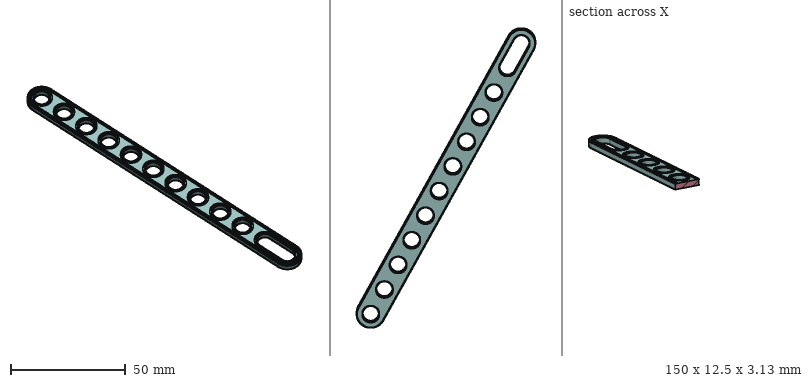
import cadquery as cq

pitch = 12.5
stations = 12
round_holes = 10
hole_diameter = 7.0
collar_diameter = 9.2
edge_chamfer = 0.3
recess_depth = 0.2

width = pitch
length = stations * pitch
thickness = pitch / 4
wall = (collar_diameter - hole_diameter) / 2
first_hole_x = (pitch - length) / 2
slot_x = -first_hole_x - pitch / 2
recess_floor = thickness - recess_depth

openings = [(first_hole_x + index * pitch, 0) for index in range(round_holes)]
openings.append((slot_x, pitch))


def rounded_prism(center_x, stretch, diameter, bottom, height):
    """Upright prism with semicircular ends; a plain cylinder when stretch is zero."""
    base = cq.Workplane("XY", origin=(center_x, 0, bottom))
    if stretch > 0:
        outline = base.slot2D(stretch + diameter, diameter)
    else:
        outline = base.circle(diameter / 2)
    return outline.extrude(height)


def make_strip():
    """Round-ended strip pierced by all openings, with every face edge chamfered."""
    strip = rounded_prism(0, length - width, width, 0, thickness)
    for center_x, stretch in openings:
        strip = strip.cut(rounded_prism(center_x, stretch, hole_diameter, 0, thickness))
    return strip.faces("|Z").edges().chamfer(edge_chamfer)


def make_top_recess():
    """Shallow recess that leaves a rim along the outline and a collar around each opening."""
    recess = rounded_prism(0, length - width, width - 2 * wall, recess_floor, recess_depth)
    for center_x, stretch in openings:
        recess = recess.cut(rounded_prism(center_x, stretch, collar_diameter, recess_floor, recess_depth))
    return recess


result = make_strip().cut(make_top_recess())